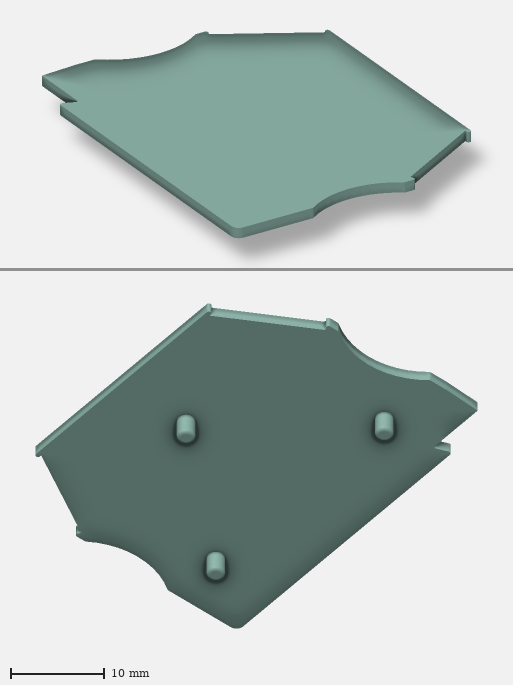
import cadquery as cq
import math

width = 42.7
height = 34.0
thickness = 1.25
half_width = 21.05
left_edge = half_width - width

lip_reach = 14.48
lip_depth = 0.55
lip_radius = 0.25
lip_y = height - lip_depth

flank_angle = 60.0
flank_top = 14.0
shoulder_y = 22.6
flank_foot = flank_top + (lip_y - shoulder_y) / math.tan(math.radians(flank_angle))

hook_height = 0.15
hook_base = 0.55
hook_crest = 0.35
hook_radius = 0.3
hook_y = shoulder_y + hook_height

recess_radius = 10.0
recess_depth = 1.85
recess_y = 15.55
recess_x = half_width - recess_depth + recess_radius
recess_corner_radius = 0.3

bend_y = 6.65
bend_angle = 3.5
bend_radius = 4.7
bend_tangent = bend_radius * math.tan(math.radians(bend_angle / 2))
bend_start = (
    left_edge + bend_tangent * math.sin(math.radians(bend_angle)),
    bend_y - bend_tangent * math.cos(math.radians(bend_angle)),
)
bend_end = (left_edge, bend_y + bend_tangent)
step_y = 2.1
step_left = left_edge + (bend_y - step_y) * math.tan(math.radians(bend_angle))

step_inner = -13.9
step_undercut = 0.8
step_outer = step_inner - step_undercut
step_inner_radius = 0.2
step_outer_radius = 0.3
bottom_corner_radius = 0.95

pin_diameter = 2.0
pin_length = 2.5
pin_tip_radius = 0.43
pin_spacing = 14.0
pin_low_y = 8.95
pin_high_y = 24.95
pin_places = [(-pin_spacing, pin_low_y), (0, pin_high_y), (pin_spacing, pin_low_y)]


def round_corner(body, x, y, radius):
    """Round the upright plate edge nearest to (x, y)."""
    corner = cq.selectors.NearestToPointSelector((x, y, thickness / 2))
    return body.edges("|Z").edges(corner).fillet(radius)


def recess_end_y(edge_x, direction):
    """Y where a recess meets an upright edge; direction +1 is its upper end, -1 its lower end."""
    return recess_y + direction * math.sqrt(recess_radius**2 - (recess_x - abs(edge_x)) ** 2)


def make_plate():
    upper_right = [
        (lip_reach, height),
        (lip_reach, lip_y),
        (flank_top, lip_y),
        (flank_foot, shoulder_y),
        (half_width - hook_base, shoulder_y),
        (half_width - hook_crest, hook_y),
        (half_width, hook_y),
    ]
    upper_left = [(-x, y) for x, y in reversed(upper_right)]
    bottom = [(half_width, 0), (step_outer, 0), (step_inner, step_y), (step_left, step_y)]
    lower_left = [(left_edge, recess_y), (-half_width, recess_y)]
    outline = (
        cq.Workplane("XY")
        .polyline(upper_right + bottom + [bend_start])
        .tangentArcPoint(bend_end, relative=False)
        .polyline(lower_left + upper_left, includeCurrent=True)
        .close()
    )
    plate = outline.extrude(thickness)

    recesses = cq.Workplane("XY").pushPoints([(-recess_x, recess_y), (recess_x, recess_y)])
    plate = plate.cut(recesses.circle(recess_radius).extrude(thickness))

    for side in (-1, 1):
        plate = round_corner(plate, side * lip_reach, height, lip_radius)
        plate = round_corner(plate, side * lip_reach, lip_y, lip_radius)
        plate = round_corner(plate, side * half_width, hook_y, hook_radius)
        plate = round_corner(plate, side * half_width, recess_end_y(half_width, 1), recess_corner_radius)

    for edge_x in (left_edge, half_width):
        plate = round_corner(plate, edge_x, recess_end_y(edge_x, -1), recess_corner_radius)

    plate = round_corner(plate, step_inner, step_y, step_inner_radius)
    plate = round_corner(plate, step_outer, 0, step_outer_radius)
    return round_corner(plate, half_width, 0, bottom_corner_radius)


def make_pins():
    pins = cq.Workplane("XY").pushPoints(pin_places).circle(pin_diameter / 2).extrude(-pin_length)
    return pins.faces("<Z").edges().fillet(pin_tip_radius)


result = make_plate().union(make_pins())